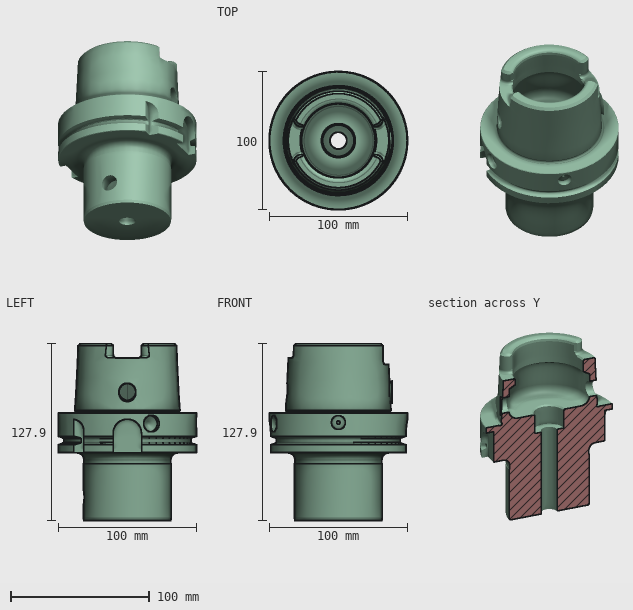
import cadquery as cq
import math

FLANGE_R = 50.0
FLANGE_H = 29.0
FLANGE_EDGE = 0.4
GROOVE_R = 46.0
GROOVE_TOP = -16.9
GROOVE_BOTTOM = -23.1
GROOVE_SLOPE_H = 1.1
GROOVE_FILLET = 0.7

TAPER_TOP = 50.0
TAPER_RATE = 1 / 9.98 / 2
TAPER_BASE_R = 38.15
TAPER_START = 1.9
RIM_CHAMFER = 1.7
RELIEF_R = 39.7
RELIEF_FLOOR_R = 38.9
RELIEF_DEPTH = 0.4
UNDERCUT_R = 37.4
UNDERCUT_Z = 0.8

MOUTH_R = 30.2
BORE_R = 26.5
MOUTH_LIP_R = 26.9
MOUTH_LIP_Z = 48.5
MOUTH_END_Z = 46.8
CLAMP_R = 31.6
CLAMP_TOP = 30.0
CLAMP_SLOPE = math.radians(30)
CAVITY_FLOOR = 3.0
CAVITY_FILLET = 6.7

COOLANT_R = 11.3
COOLANT_CHAMFER = 1.0
COOLANT_DEPTH = 15.0
THROUGH_R = 6.0

NECK_R = 31.5
NECK_FILLET = 4.7
SHANK_R = 31.8
SHANK_TOP = -36.9
SHANK_BOTTOM = -77.9
SHANK_LEAD_H = 2.1
SHANK_LEAD_R = 31.4

DRIVE_HALF_W = 10.0
DRIVE_CORNER_R = 6.0
DRIVE_FACE_X = 32.4
DRIVE_INNER_X = 15.0
DRIVE_FLARE_W = 22.0
DRIVE_FLOOR_FILLET = 2.0
DRIVE_FLOORS = {-1: 39.7, 1: 35.0}
DRIVE_INNER_CHAMFER = 1.1
DRIVE_INNER_HALF_W = 11.0

CROSS_R = 6.0
CROSS_Z = 15.1
CROSS_SINK = 0.7

KEY_HALF_W = 10.25
KEY_TOP = -4.6
KEY_FLOOR_X = 44.0

NOTCH_R = 8.5
NOTCH_WALL_Y = 31.4
NOTCH_FLOOR_X = 31.8

GRIP_R = 6.0
GRIP_Z = -7.8
GRIP_ANGLE = 180 + 20.5
GRIP_TIP_R = 42.0

CHIP_R = 5.0
CHIP_Z = -7.0
CHIP_FACE_DEPTH = 4.6
CHIP_T = 4.5
PIT_R = 1.2
PIT_DEPTH = 1.2

CLAMP_HOLE_R = 6.0
CLAMP_HOLE_Z = -61.0
CLAMP_HOLE_DEPTH = 10.0


def taper_radius(z):
    return TAPER_BASE_R - TAPER_RATE * z


def outer_profile():
    slope_h = GROOVE_SLOPE_H
    groove_mid = GROOVE_FILLET * (1 - math.sqrt(0.5))
    flange_bottom = -FLANGE_H
    top_r = taper_radius(TAPER_TOP)
    fillet_mid = NECK_FILLET * (1 - math.sqrt(0.5))
    return (
        cq.Workplane("XZ")
        .moveTo(0, SHANK_BOTTOM)
        .lineTo(SHANK_LEAD_R, SHANK_BOTTOM)
        .lineTo(SHANK_R, SHANK_BOTTOM + SHANK_LEAD_H)
        .lineTo(SHANK_R, SHANK_TOP)
        .lineTo(NECK_R, SHANK_TOP)
        .lineTo(NECK_R, flange_bottom - NECK_FILLET)
        .threePointArc(
            (NECK_R + fillet_mid, flange_bottom - fillet_mid),
            (NECK_R + NECK_FILLET, flange_bottom),
        )
        .lineTo(FLANGE_R - FLANGE_EDGE, flange_bottom)
        .lineTo(FLANGE_R, flange_bottom + FLANGE_EDGE)
        .lineTo(FLANGE_R, GROOVE_BOTTOM)
        .lineTo(GROOVE_R + GROOVE_FILLET, GROOVE_BOTTOM + slope_h)
        .threePointArc(
            (GROOVE_R + groove_mid, GROOVE_BOTTOM + slope_h + groove_mid),
            (GROOVE_R, GROOVE_BOTTOM + slope_h + GROOVE_FILLET),
        )
        .lineTo(GROOVE_R, GROOVE_TOP - slope_h - GROOVE_FILLET)
        .threePointArc(
            (GROOVE_R + groove_mid, GROOVE_TOP - slope_h - groove_mid),
            (GROOVE_R + GROOVE_FILLET, GROOVE_TOP - slope_h),
        )
        .lineTo(FLANGE_R, GROOVE_TOP)
        .lineTo(FLANGE_R, -FLANGE_EDGE)
        .lineTo(FLANGE_R - FLANGE_EDGE, 0)
        .lineTo(RELIEF_R, 0)
        .lineTo(RELIEF_FLOOR_R, -RELIEF_DEPTH)
        .threePointArc(
            (UNDERCUT_R + 0.45, UNDERCUT_Z - 0.8),
            (UNDERCUT_R, UNDERCUT_Z),
        )
        .lineTo(taper_radius(TAPER_START), TAPER_START)
        .lineTo(taper_radius(TAPER_TOP - RIM_CHAMFER), TAPER_TOP - RIM_CHAMFER)
        .lineTo(top_r - RIM_CHAMFER, TAPER_TOP)
        .lineTo(0, TAPER_TOP)
        .close()
    )


def cavity():
    floor_corner = CAVITY_FILLET * (1 - math.sqrt(0.5))
    lip_turn = 2 * math.atan((TAPER_TOP - MOUTH_LIP_Z) / (MOUTH_R - MOUTH_LIP_R))
    lip_r = (MOUTH_R - MOUTH_LIP_R) / math.sin(lip_turn)
    hole_bottom = CAVITY_FLOOR - COOLANT_DEPTH
    return (
        cq.Workplane("XZ")
        .moveTo(0, TAPER_TOP)
        .lineTo(MOUTH_R, TAPER_TOP)
        .threePointArc(
            (MOUTH_R - lip_r * math.sin(lip_turn / 2), TAPER_TOP - lip_r * (1 - math.cos(lip_turn / 2))),
            (MOUTH_LIP_R, MOUTH_LIP_Z),
        )
        .lineTo(BORE_R, MOUTH_END_Z)
        .lineTo(BORE_R, CLAMP_TOP)
        .lineTo(CLAMP_R, CLAMP_TOP - (CLAMP_R - BORE_R) * math.tan(CLAMP_SLOPE))
        .lineTo(CLAMP_R, CAVITY_FLOOR + CAVITY_FILLET)
        .threePointArc(
            (CLAMP_R - floor_corner, CAVITY_FLOOR + floor_corner),
            (CLAMP_R - CAVITY_FILLET, CAVITY_FLOOR),
        )
        .lineTo(COOLANT_R + COOLANT_CHAMFER, CAVITY_FLOOR)
        .lineTo(COOLANT_R, CAVITY_FLOOR - COOLANT_CHAMFER)
        .lineTo(COOLANT_R, hole_bottom)
        .lineTo(THROUGH_R, hole_bottom)
        .lineTo(THROUGH_R, SHANK_BOTTOM)
        .lineTo(0, SHANK_BOTTOM)
        .close()
        .revolve(360, (0, 0, 0), (0, 1, 0))
    )


def drive_outline(height):
    """Plan of a drive slot on +X, flaring in an arc at its outer end."""
    corner_x = DRIVE_FACE_X - DRIVE_CORNER_R
    corner_y = DRIVE_HALF_W + DRIVE_CORNER_R
    mid = DRIVE_CORNER_R * math.sqrt(0.5)
    return (
        cq.Workplane("XY")
        .workplane(offset=height)
        .moveTo(DRIVE_INNER_X, -DRIVE_HALF_W)
        .lineTo(corner_x, -DRIVE_HALF_W)
        .threePointArc((corner_x + mid, -corner_y + mid), (DRIVE_FACE_X, -corner_y))
        .lineTo(DRIVE_FACE_X, -DRIVE_FLARE_W)
        .lineTo(FLANGE_R, -DRIVE_FLARE_W)
        .lineTo(FLANGE_R, DRIVE_FLARE_W)
        .lineTo(DRIVE_FACE_X, DRIVE_FLARE_W)
        .lineTo(DRIVE_FACE_X, corner_y)
        .threePointArc((corner_x + mid, corner_y - mid), (corner_x, DRIVE_HALF_W))
        .lineTo(DRIVE_INNER_X, DRIVE_HALF_W)
        .close()
    )


def drive_inner_bevel(height):
    """Wedge that bevels both walls of a drive slot on +X where they meet the bore."""
    bore_x = math.sqrt(BORE_R**2 - DRIVE_INNER_HALF_W**2)
    corner_x = DRIVE_FACE_X - DRIVE_CORNER_R
    half = [
        (corner_x, DRIVE_HALF_W),
        (bore_x, DRIVE_INNER_HALF_W),
        (DRIVE_INNER_X, DRIVE_INNER_HALF_W),
    ]
    mirrored = [(x, -y) for x, y in reversed(half)]
    outline = cq.Workplane("XY").workplane(offset=height).polyline(half + mirrored).close()
    return outline.extrude(TAPER_TOP - height)


def drive_slot(side):
    """Cutter for one drive slot: filleted along its floor and widening through the rim chamfer."""
    floor = DRIVE_FLOORS[side]
    slot = drive_outline(floor).extrude(TAPER_TOP - floor).faces("<Z").edges().fillet(DRIVE_FLOOR_FILLET)
    flare = drive_outline(TAPER_TOP - RIM_CHAMFER).extrude(RIM_CHAMFER, taper=-45)
    turn = 0 if side > 0 else 180
    bevel = drive_inner_bevel(floor + DRIVE_FLOOR_FILLET)
    return slot.union(flare).union(bevel).rotate((0, 0, 0), (0, 0, 1), turn)


def drive_floor_chamfer(side):
    """Conical cutter that breaks the edge between a drive slot floor and the bore."""
    floor = DRIVE_FLOORS[side]
    cone = cq.Solid.makeCone(
        BORE_R - DRIVE_INNER_CHAMFER,
        BORE_R + DRIVE_INNER_CHAMFER,
        2 * DRIVE_INNER_CHAMFER,
        cq.Vector(0, 0, floor - 2 * DRIVE_INNER_CHAMFER),
        cq.Vector(0, 0, 1),
    )
    width = 2 * (DRIVE_HALF_W - DRIVE_FLOOR_FILLET)
    window = cq.Workplane("XY", origin=(side * BORE_R, 0, floor)).box(BORE_R, width, FLANGE_R)
    return window.intersect(cq.Workplane(cone))


def keyway(side):
    centre_z = KEY_TOP - KEY_HALF_W
    depth = FLANGE_R - KEY_FLOOR_X
    return (
        cq.Workplane("YZ")
        .workplane(offset=KEY_FLOOR_X if side > 0 else -FLANGE_R)
        .moveTo(-KEY_HALF_W, -FLANGE_H)
        .lineTo(-KEY_HALF_W, centre_z)
        .threePointArc((0, KEY_TOP), (KEY_HALF_W, centre_z))
        .lineTo(KEY_HALF_W, -FLANGE_H)
        .close()
        .extrude(depth)
    )


def notch():
    centre_z = KEY_TOP - NOTCH_R
    centre_y = NOTCH_WALL_Y + NOTCH_R
    mid = NOTCH_R * math.sqrt(0.5)
    return (
        cq.Workplane("YZ")
        .workplane(offset=-FLANGE_R)
        .moveTo(NOTCH_WALL_Y, -FLANGE_H)
        .lineTo(NOTCH_WALL_Y, centre_z)
        .threePointArc((centre_y - mid, centre_z + mid), (centre_y, KEY_TOP))
        .lineTo(FLANGE_R, KEY_TOP)
        .lineTo(FLANGE_R, -FLANGE_H)
        .close()
        .extrude(FLANGE_R - NOTCH_FLOOR_X)
    )


def grip_hole():
    """Radial drilled hole with a 120 degree point."""
    point_h = GRIP_R / math.tan(math.radians(60))
    return (
        cq.Workplane("XZ")
        .moveTo(GRIP_TIP_R, 0)
        .lineTo(GRIP_TIP_R + point_h, GRIP_R)
        .lineTo(FLANGE_R + GRIP_R, GRIP_R)
        .lineTo(FLANGE_R + GRIP_R, 0)
        .close()
        .revolve(360, (0, 0, 0), (1, 0, 0))
        .rotate((0, 0, 0), (0, 0, 1), GRIP_ANGLE)
        .translate((0, 0, GRIP_Z))
    )


def cross_hole(side):
    """Half of the cross hole, with its countersink, from the cavity out through one wall."""
    sink_x = taper_radius(CROSS_Z) - CROSS_SINK
    reach = sink_x + 3 * CROSS_SINK
    return (
        cq.Workplane("XY")
        .lineTo(0, CROSS_R)
        .lineTo(sink_x, CROSS_R)
        .lineTo(reach, CROSS_R + reach - sink_x)
        .lineTo(reach, 0)
        .close()
        .revolve(360, (0, 0, 0), (1, 0, 0))
        .rotate((0, 0, 0), (0, 0, 1), 0 if side > 0 else 180)
        .translate((0, 0, CROSS_Z))
    )


def chip_pocket():
    depth = CHIP_FACE_DEPTH + CHIP_T
    return (
        cq.Workplane("XZ", origin=(0, depth - FLANGE_R, CHIP_Z))
        .circle(CHIP_R)
        .extrude(depth)
    )


def make_chip():
    face_y = CHIP_FACE_DEPTH - FLANGE_R
    pit = cq.Solid.makeCone(PIT_R, 0, PIT_DEPTH, cq.Vector(0, face_y, CHIP_Z), cq.Vector(0, 1, 0))
    return (
        cq.Workplane("XZ", origin=(0, face_y + CHIP_T, CHIP_Z))
        .circle(CHIP_R)
        .extrude(CHIP_T)
        .cut(cq.Workplane(pit))
    )


def clamp_hole():
    return (
        cq.Workplane("XZ", origin=(0, SHANK_R, CLAMP_HOLE_Z))
        .circle(CLAMP_HOLE_R)
        .extrude(CLAMP_HOLE_DEPTH)
    )


def make_holder():
    body = outer_profile().revolve(360, (0, 0, 0), (0, 1, 0))
    body = body.cut(cavity())
    for side in DRIVE_FLOORS:
        body = body.cut(drive_slot(side)).cut(drive_floor_chamfer(side))
    for side in (-1, 1):
        body = body.cut(keyway(side)).cut(cross_hole(side))
    for cutter in (notch(), grip_hole(), chip_pocket(), clamp_hole()):
        body = body.cut(cutter)
    return body


holder = make_holder()
chip = make_chip()
result = cq.Compound.makeCompound([holder.val(), chip.val()])